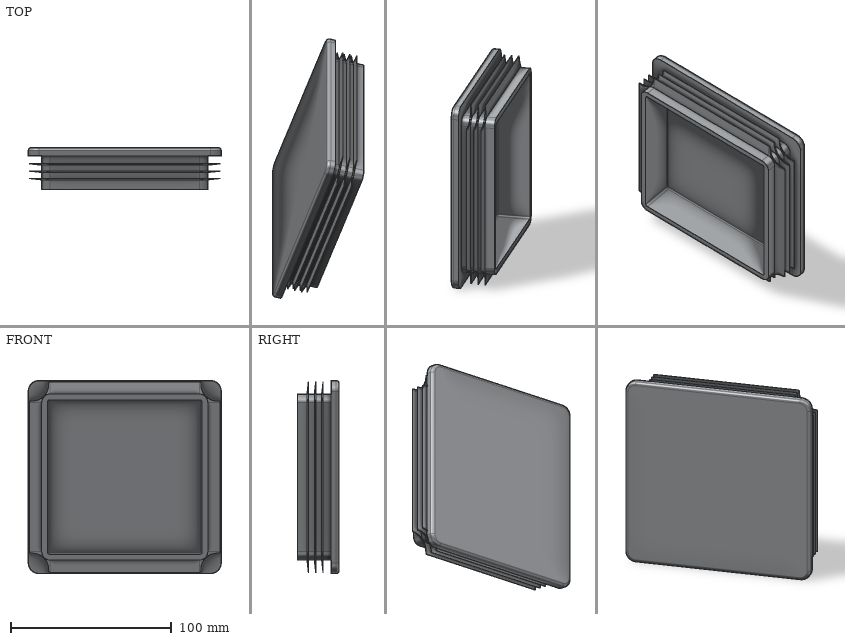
import cadquery as cq

plate_side = 120.0
plate_thickness = 5.0
plate_corner_radius = 6.7
plate_edge_radius = 1.9

total_depth = 26.0
plug_side = 103.2
plug_corner_radius = 5.3

wall = 3.6
pocket_corner_radius = 1.5
pocket_floor_radius = 0.8
pocket_floor_thickness = 5.0

fin_count = 3
fin_pitch = 4.5
first_fin_distance = 10.0
fin_span = 118.3
fin_root_thickness = 1.0
fin_tip_thickness = 0.1
fin_tip_corner_radius = 0.8
fin_gap = 11.9
fin_gap_radius = 10.2

fin_reach = (fin_span - plug_side) / 2
fin_length = fin_span - 2 * fin_gap
fin_corner_radius = plug_corner_radius + fin_reach
pocket_side = plug_side - 2 * wall
pocket_depth = total_depth - pocket_floor_thickness


def rounded_block(side, corner_radius, back, length):
    """Square block with rounded corners, from `back` toward -Y; back is a distance from the outer face."""
    return (
        cq.Workplane("XZ", origin=(0, -back, 0))
        .rect(side, side)
        .extrude(length)
        .edges("|Y")
        .fillet(corner_radius)
    )


def make_plate():
    plate = rounded_block(plate_side, plate_corner_radius, 0, plate_thickness)
    return plate.faces(">Y").edges().fillet(plate_edge_radius)


def make_pocket():
    pocket = rounded_block(pocket_side, pocket_corner_radius, pocket_floor_thickness, pocket_depth)
    return pocket.faces(">Y").edges().fillet(pocket_floor_radius)


def make_fin_skirt(distance):
    """Closed tapered skirt around the plug, its flat face `distance` from the outer face."""
    taper_height = fin_root_thickness - fin_tip_thickness
    tip = rounded_block(fin_span, fin_corner_radius, distance, fin_tip_thickness)
    wide_outline = cq.Sketch().rect(fin_span, fin_span).vertices().fillet(fin_corner_radius)
    narrow_outline = cq.Sketch().rect(plug_side, plug_side).vertices().fillet(plug_corner_radius)
    taper = (
        cq.Workplane("XZ", origin=(0, -distance - fin_tip_thickness, 0))
        .placeSketch(wide_outline, narrow_outline.moved(cq.Location(cq.Vector(0, 0, taper_height))))
        .loft()
    )
    return tip.union(taper)


def make_fin_bar(width, height):
    """Bar along Y through all fins, its four corners rounded."""
    return (
        cq.Workplane("XZ")
        .rect(width, height)
        .extrude(total_depth)
        .edges("|Y")
        .fillet(fin_tip_corner_radius)
    )


def make_fin_cross():
    """Cross-shaped prism that opens the fins at the four corners with a concave curve."""
    cross = make_fin_bar(fin_span, fin_length).union(make_fin_bar(fin_length, fin_span))
    inside = (fin_length + fin_gap) / 2
    inner_corners = cq.selectors.BoxSelector((-inside, -total_depth, -inside), (inside, 0, inside))
    return cross.edges("|Y").edges(inner_corners).fillet(fin_gap_radius)


plug = rounded_block(plug_side, plug_corner_radius, plate_thickness, total_depth - plate_thickness)
result = make_plate().union(plug)
fin_cross = make_fin_cross()
for index in range(fin_count):
    skirt = make_fin_skirt(first_fin_distance + index * fin_pitch)
    result = result.union(skirt.intersect(fin_cross))
result = result.cut(make_pocket())